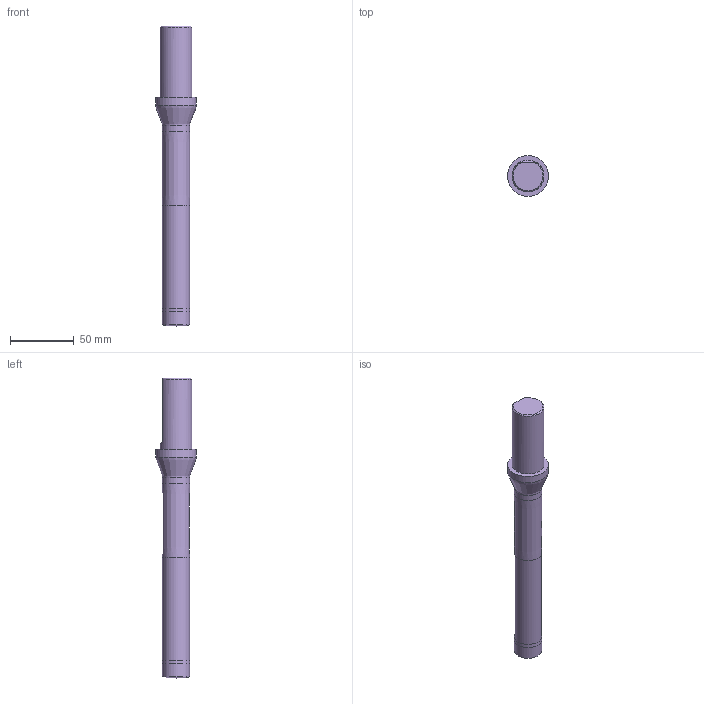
import cadquery as cq


shank_diameter = 24.99
shank_length = 56.0
shank_chamfer = 0.8
flat_offset = 10.5
flat_end_z = 6.0
flat_runout = shank_diameter / 2 - flat_offset

flange_diameter = 32.0
flange_bottom_z = -6.0

neck_diameter = 21.45
body_diameter = 21.23
flare_bottom_z = -22.0
collar_bottom_z = -27.0
taper_bottom_z = -84.5
flare_end_pull = 4.0

head_diameter = 21.45
head_top_z = -165.0
head_shoulder_z = -168.0
head_bottom_z = -179.0
dome_height = 0.8
dome_pull_ratio = 0.8

flange_radius = flange_diameter / 2
shank_radius = shank_diameter / 2
neck_radius = neck_diameter / 2
body_radius = body_diameter / 2
head_radius = head_diameter / 2
dome_pull_radius = dome_pull_ratio * head_radius
dome_rim_z = head_bottom_z + dome_height


def revolve_about_z(profile):
    """Turn a closed profile, drawn as (radius, Z), about the Z axis."""
    return profile.close().revolve(360, (0, 0, 0), (0, 1, 0))


def make_shank_flat_cutter():
    """Material removed above the flat, with a 45 degree run-out at its lower end."""
    return (
        cq.Workplane("YZ")
        .moveTo(flat_offset, shank_length)
        .lineTo(flat_offset, flat_end_z)
        .lineTo(flat_offset + flat_runout, flat_end_z - flat_runout)
        .lineTo(flat_offset + flat_runout, shank_length)
        .close()
        .extrude(shank_radius, both=True)
    )


def make_holder():
    """Shank, flange, curved flare, collar, tapered neck and straight body."""
    flare_curve = [
        (flange_radius, flange_bottom_z),
        (flange_radius, flange_bottom_z - flare_end_pull),
        (neck_radius, flare_bottom_z + flare_end_pull),
        (neck_radius, flare_bottom_z),
    ]
    profile = (
        cq.Workplane("XZ")
        .moveTo(0, shank_length)
        .lineTo(shank_radius - shank_chamfer, shank_length)
        .lineTo(shank_radius, shank_length - shank_chamfer)
        .lineTo(shank_radius, 0)
        .lineTo(flange_radius, 0)
        .lineTo(flange_radius, flange_bottom_z)
        .bezier(flare_curve)
        .lineTo(neck_radius, collar_bottom_z)
        .lineTo(body_radius, taper_bottom_z)
        .lineTo(body_radius, head_top_z)
        .lineTo(0, head_top_z)
    )
    return revolve_about_z(profile).cut(make_shank_flat_cutter())


def make_head():
    """Cylinder that widens from the body diameter at its top and ends in a shallow dome."""
    dome_curve = [
        (head_radius, dome_rim_z),
        (dome_pull_radius, head_bottom_z),
        (0, head_bottom_z),
    ]
    profile = (
        cq.Workplane("XZ")
        .moveTo(0, head_top_z)
        .lineTo(body_radius, head_top_z)
        .lineTo(head_radius, head_shoulder_z)
        .lineTo(head_radius, dome_rim_z)
        .bezier(dome_curve)
    )
    return revolve_about_z(profile)


holder = make_holder()
head = make_head()
result = cq.Compound.makeCompound([holder.val(), head.val()])